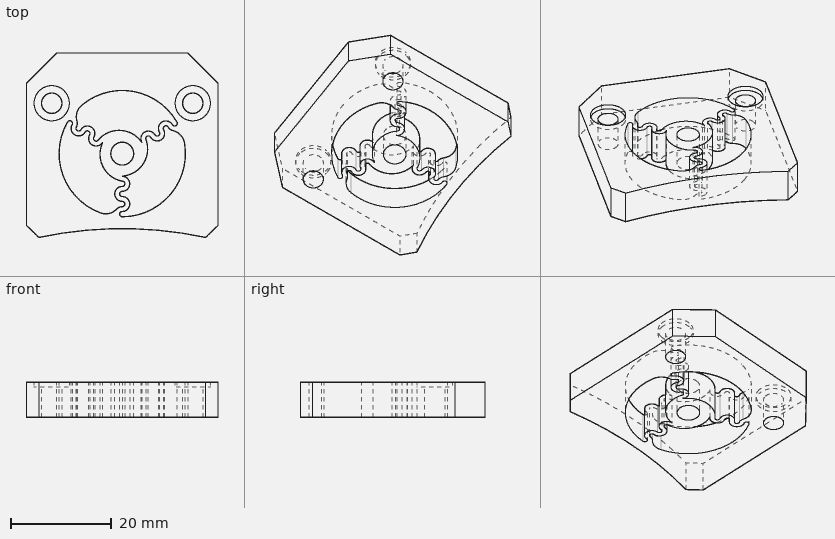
import cadquery as cq
import math

width = 38.0
length = 36.65
thickness = 7.0
top_y = 20.0
bottom_y = top_y - length
top_chamfer = 6.0
bottom_chamfer_x = 2.47
bottom_chamfer_y = 2.4
bottom_arc_crown_y = -14.9

mount_x = 14.0
mount_y = 10.0
mount_diameter = 4.0
counterbore_diameter = 7.0
counterbore_depth = 1.0

bore_diameter = 4.5
leg_count = 3
leg_pitch = 360 / leg_count
window_radius = 12.5
window_fillet = 3.0
hub_edge_radius = 5.45
hub_radius = 4.5
bend_count = 4
bend_radius = (window_radius - hub_radius) / (2 * bend_count)
bend_spacing = 2 * bend_radius
leg_thickness = bend_radius
bend_inner = bend_radius - leg_thickness / 2
bend_outer = bend_radius + leg_thickness / 2
bend_ys = [-hub_radius - bend_outer - bend_spacing * i for i in range(bend_count)]
last_bend_y = bend_ys[-1]


def rotate(point, degrees):
    """Turn a point about the hub axis."""
    angle = math.radians(degrees)
    x, y = point
    return (
        x * math.cos(angle) - y * math.sin(angle),
        x * math.sin(angle) + y * math.cos(angle),
    )


def make_plate():
    half = width / 2
    return (
        cq.Workplane("XY")
        .moveTo(-half + top_chamfer, top_y)
        .lineTo(half - top_chamfer, top_y)
        .lineTo(half, top_y - top_chamfer)
        .lineTo(half, bottom_y + bottom_chamfer_y)
        .lineTo(half - bottom_chamfer_x, bottom_y)
        .threePointArc((0, bottom_arc_crown_y), (-half + bottom_chamfer_x, bottom_y))
        .lineTo(-half, bottom_y + bottom_chamfer_y)
        .lineTo(-half, top_y - top_chamfer)
        .close()
        .extrude(thickness)
    )


def make_window():
    """Opening between the leg that points to -Y and the next leg counterclockwise."""
    fillet_distance = window_radius - window_fillet
    bend_distance = bend_outer + window_fillet
    fillet_y = (fillet_distance**2 + last_bend_y**2 - bend_distance**2) / (2 * last_bend_y)
    fillet_x = -math.sqrt(fillet_distance**2 - fillet_y**2)
    circle_scale = window_radius / fillet_distance
    circle_touch = (fillet_x * circle_scale, fillet_y * circle_scale)
    bend_scale = bend_outer / bend_distance
    bend_touch = (fillet_x * bend_scale, last_bend_y + (fillet_y - last_bend_y) * bend_scale)

    hub_end = (0, -hub_radius)
    outline = cq.Workplane("XY").moveTo(*hub_end)

    for index, y in enumerate(bend_ys):
        radius = bend_outer if index % 2 == 0 else bend_inner
        side = 1 if index % 2 == 0 else -1
        outline = outline.threePointArc((side * radius, y), (0, y - radius))

    first_angle = -90
    touch_angle = math.degrees(math.atan2(circle_touch[1], circle_touch[0])) + leg_pitch
    middle = rotate((window_radius, 0), (first_angle + touch_angle) / 2)
    outline = outline.threePointArc(middle, rotate(circle_touch, leg_pitch))
    outline = outline.radiusArc(rotate(bend_touch, leg_pitch), -window_fillet)
    last_bend_end = (0, last_bend_y + bend_outer)
    outline = outline.radiusArc(rotate(last_bend_end, leg_pitch), bend_outer)

    for index, y in reversed(list(enumerate(bend_ys[:-1]))):
        radius = bend_inner if index % 2 == 0 else bend_outer
        side = 1 if index % 2 == 0 else -1
        outline = outline.threePointArc(
            rotate((side * radius, y), leg_pitch),
            rotate((0, y + radius), leg_pitch),
        )

    return outline.radiusArc(hub_end, hub_edge_radius).close().extrude(thickness)


result = make_plate()

window = make_window()
for leg in range(leg_count):
    result = result.cut(window.rotate((0, 0, 0), (0, 0, 1), leg * leg_pitch))

result = result.cut(cq.Workplane("XY").circle(bore_diameter / 2).extrude(thickness))

result = (
    result.faces(">Z")
    .workplane(origin=(0, 0, thickness))
    .pushPoints([(-mount_x, mount_y), (mount_x, mount_y)])
    .cboreHole(mount_diameter, counterbore_diameter, counterbore_depth)
)